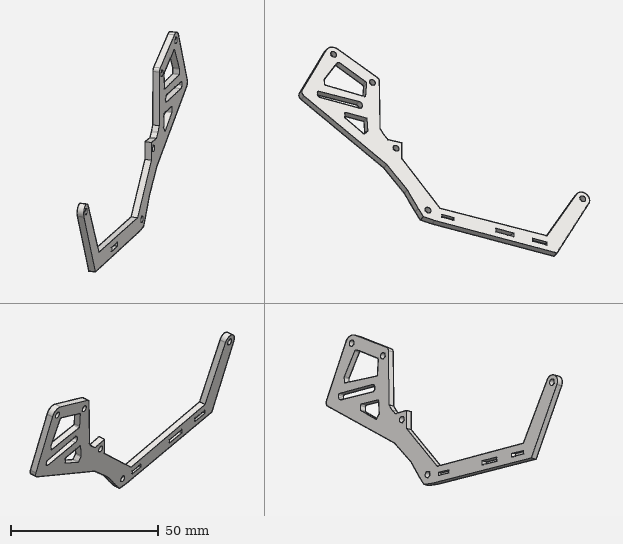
import cadquery as cq
import math

THICKNESS = 2.4
OUTER_FACE = -THICKNESS / 2
HOLE_DIAMETER = 2.2
POCKET_DEPTH = THICKNESS / 2

EYE_CENTER = (-51.9, -4.4)
EYE_RADIUS = 2.6
ARM_ANGLE = math.radians(118)

HOLE_CENTERS = [
    (42.5, 26.6),
    (27.8, 19.5),
    (18.9, -4.5),
    (6.8, -26.0),
    EYE_CENTER,
]

EYE_SIDE_Y = EYE_RADIUS * math.sin(ARM_ANGLE)
EYE_SIDE_Z = -EYE_RADIUS * math.cos(ARM_ANGLE)

PLATE_CORNERS = [
    (43.8, 30.5, 3.3),
    (55.1, 7.3, 1.7),
    (22.4, -12.1, 0),
    (14.6, -20.1, 0),
    (10.5, -26.4, 0),
    (8.5, -29.1, 0),
    (4.1, -29.4, 0),
    (-42.2, -29.1, 0),
    (EYE_CENTER[0] - EYE_SIDE_Y, EYE_CENTER[1] - EYE_SIDE_Z, 0),
    (EYE_CENTER[0] + EYE_SIDE_Y, EYE_CENTER[1] + EYE_SIDE_Z, 0),
    (-38.4, -23.2, 0),
    (2.2, -23.9, 0),
    (16.7, -8.0, 0),
    (16.7, -1.6, 0),
    (21.9, -1.9, 0),
    (23.5, -0.2, 0),
    (24.9, 1.7, 0),
    (25.2, 21.7, 1.4),
]

WINDOW_CORNERS = [
    (40.8, 24.1, 0.7),
    (46.0, 15.4, 0.5),
    (45.9, 13.3, 0.2),
    (30.4, 13.0, 0.3),
    (30.0, 18.9, 0.7),
]

SLOT_CORNERS = [
    (48.6, 10.0, 0.5),
    (48.6, 7.7, 1.0),
    (31.6, 7.7, 1.1),
    (31.6, 10.4, 1.3),
]

TRIANGLE_CORNERS = [
    (38.3, 4.5, 0.5),
    (38.3, 2.3, 0.3),
    (31.1, -2.2, 0.2),
    (29.5, -0.5, 0.3),
    (29.9, 4.5, 0.2),
]

BAR_POCKET_BOTTOM = -27.3
BAR_POCKETS = [
    dict(y_low=-3.2, y_high=1.5, height=1.1, depth=POCKET_DEPTH),
    dict(y_low=-25.8, y_high=-19.0, height=1.4, depth=THICKNESS, ramp_low=0.9),
    dict(y_low=-38.4, y_high=-32.8, height=1.2, depth=POCKET_DEPTH, lift=0.2, ramp_high=0.8),
]


def toward(start, end, distance):
    """Point at a given distance from start on the way to end."""
    share = distance / math.dist(start, end)
    return tuple(s + share * (e - s) for s, e in zip(start, end))


def rounded_plate(corners):
    """Plate of full thickness, centered on X = 0, with each corner rounded as listed."""
    path = cq.Workplane("YZ", origin=(OUTER_FACE, 0, 0))
    started = False
    for index, (y, z, radius) in enumerate(corners):
        corner = (y, z)
        before = corners[index - 1][:2]
        after = corners[(index + 1) % len(corners)][:2]
        angle_in = math.atan2(before[1] - z, before[0] - y)
        angle_out = math.atan2(after[1] - z, after[0] - y)
        half_angle = abs(math.remainder(angle_out - angle_in, math.tau)) / 2
        setback = radius / math.tan(half_angle)
        entry = toward(corner, before, setback)
        path = path.lineTo(*entry) if started else path.moveTo(*entry)
        started = True
        if radius:
            leave = toward(corner, after, setback)
            chord_middle = toward(entry, leave, math.dist(entry, leave) / 2)
            crown = toward(corner, chord_middle, radius / math.sin(half_angle) - radius)
            path = path.threePointArc(crown, leave)
    return path.close().extrude(THICKNESS)


def discs(centers, diameter):
    """Full-thickness cylinders along X."""
    plane = cq.Workplane("YZ", origin=(OUTER_FACE, 0, 0))
    return plane.pushPoints(centers).circle(diameter / 2).extrude(THICKNESS)


def bar_pocket(y_low, y_high, height, depth, lift=0, ramp_low=0, ramp_high=0):
    """Rectangular pocket sunk from the -X face; lift raises it above the common level."""
    floor = OUTER_FACE + depth
    side_profile = [
        (OUTER_FACE, y_low),
        (OUTER_FACE, y_high),
        (floor, y_high - ramp_high),
        (floor, y_low + ramp_low),
    ]
    plane = cq.Workplane("XY", origin=(0, 0, BAR_POCKET_BOTTOM + lift))
    return plane.polyline(side_profile).close().extrude(height)


plate = rounded_plate(PLATE_CORNERS).union(discs([EYE_CENTER], 2 * EYE_RADIUS))

for opening in (WINDOW_CORNERS, SLOT_CORNERS, TRIANGLE_CORNERS):
    plate = plate.cut(rounded_plate(opening))

plate = plate.cut(discs(HOLE_CENTERS, HOLE_DIAMETER))

for pocket in BAR_POCKETS:
    plate = plate.cut(bar_pocket(**pocket))

result = plate